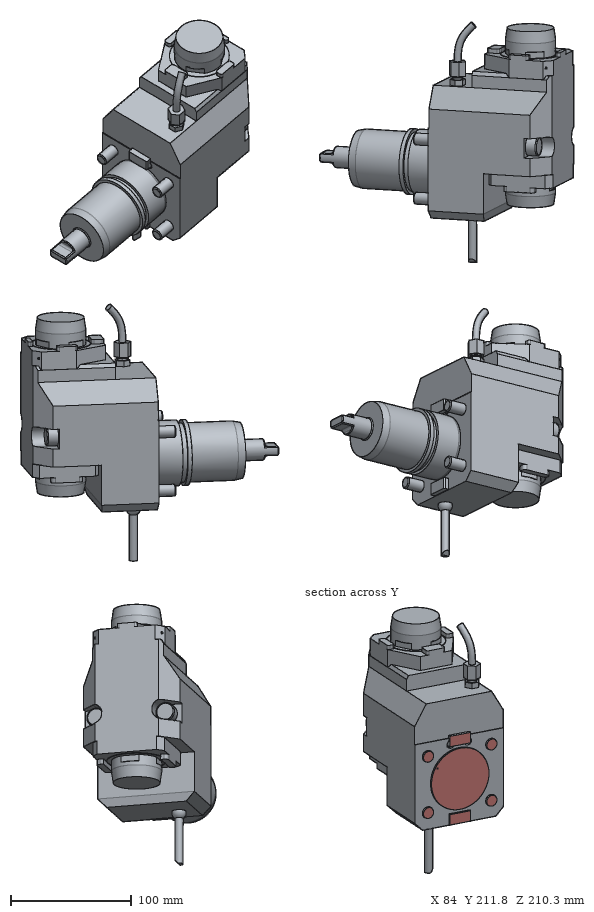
import cadquery as cq
import math


HOUSING_WIDTH = 84.0
HOUSING_BACK = 104.2
HOUSING_BOTTOM = -40.2
SHOULDER_Z = 53.2
DECK_Z = 71.5
DECK_HALF_WIDTH = 31.0
BOTTOM_CHAMFER = 7.4
BACK_CORNER_CHAMFER = 14.6
OVERHANG_Z = 1.3
OVERHANG_FRONT = 48.6
HEEL_BEVEL_DEPTH = 1.8
FACE_STEP = 0.6
FACE_STEP_Z = 37.2

SPINDLE_Y = 75.5
RISER_TOP = 85.0
RISER_FRONT = 34.7
RISER_CHAMFER_WIDTH = 1.8
RISER_CHAMFER_HEIGHT = 3.2
PLATE_TOP = 97.4
PLATE_HALF_WIDTH = 31.2
PLATE_FRONT = 40.3
PLATE_FRONT_HALF_WIDTH = 15.0
PLATE_SIDE_FRONT = 67.7
PLATE_BACK_CORNER = 6.6
PLATE_HOLE_DIAMETER = 1.7
PLATE_HOLE_DEPTH = 2.0
PLATE_HOLE_BACK_INSET = 4.6
PLATE_HOLE_Z = 91.5
KEY_HEIGHT = 3.7
KEY_WIDTH = 17.2
KEY_FILLET = 1.8
FRONT_KEY_LENGTH = 10.4
COLLAR_DIAMETER = 49.7
COLLAR_HEIGHT = 0.5
NUT_DIAMETER = 42.0
NUT_END_DIAMETER = 39.0
NUT_HEIGHT = 22.0
NUT_TAPER_HEIGHT = 9.8
NUT_FLAT_DISTANCE = 19.5
TOP_NUT_FLAT_HEIGHT = 4.8
TOP_NUT_TURN = 30.0

LOWER_PLATE_BOTTOM = -10.2
LOWER_PLATE_CORNER = 5.2
LOWER_PLATE_FRONT_CORNER = 3.1
LOWER_KEY_WIDTH = 26.8
LOWER_KEY_HEIGHT = 4.5
LOWER_KEY_FILLET = 3.1
LOWER_NUT_HEIGHT = 19.2
LOWER_NUT_FLAT_HEIGHT = 5.9

SHANK_DIAMETER = 49.7
FLANGE_DIAMETER = 55.0
SHANK_TIP_DIAMETER = 47.0
PILOT_DIAMETER = 54.6
PILOT_LENGTH = 1.2
FLANGE_START = 1.9
FLANGE_END = 23.0
RING_START = 27.3
RING_END = 30.8
SHANK_TAPER_START = 70.2
SHANK_END = 76.8
SHAFT_DIAMETER = 18.0
SHAFT_COLLAR_DIAMETER = 19.6
SHAFT_COLLAR_LENGTH = 1.0
SHAFT_END = 107.6
TANG_THICKNESS = 7.8
TANG_START = 96.2
TANG_ROOT_RADIUS = 2.1
TANG_FLAT_WIDTH = 14.6
TANG_EDGE_DROP = 1.1
TANG_END_CHAMFER = 1.0
SHAFT_END_CHAMFER = 0.8

BOLT_X = 30.0
BOLT_Z = 25.0
BOLT_DIAMETER = 10.0
BOLT_LENGTH = 15.8
BOLT_CHAMFER = 0.9
BOLT_EMBED = 5.0
BOLT_HEAD_DIAMETER = 16.0
BOLT_HEAD_HEIGHT = 9.4
BOLT_POCKET_WIDTH = 16.6
BOLT_SEAT_Y = 84.3
DRIVE_KEY_WIDTH = 19.8
DRIVE_KEY_HEIGHT = 9.7
DRIVE_KEY_INNER_Z = 30.0
DRIVE_KEY_PROUD = 4.5
DRIVE_KEY_CHAMFER_WIDTH = 0.7
DRIVE_KEY_CHAMFER_DEPTH = 1.3
KEY_SEAT_DEPTH = 5.0
KEY_RELIEF_DIAMETER = 7.0
KEY_RELIEF_X = 8.0
KEY_RELIEF_Z = 31.6

TUBE_X = 22.4
TUBE_Y = 19.1
TUBE_DIAMETER = 6.0
BASE_HEX_FLATS = 11.3
BASE_HEX_TOP = 76.3
FITTING_NECK_DIAMETER = 8.15
FITTING_SEAT_DIAMETER = 9.4
FITTING_SEAT_BOTTOM = 78.0
NUT_HEX_FLATS = 12.4
NUT_HEX_BOTTOM = 79.2
NUT_HEX_TOP = 91.5
TUBE_TIP_REACH = 13.4
TUBE_TIP_RISE = 30.9
TUBE_MID_REACH = 3.3
TUBE_MID_RISE = 18.6
TUBE_TIP_LEAN = 47.0
TUBE_HEADING = 110.0

CABLE_X = -19.5
CABLE_Y = 17.6
CABLE_DIAMETER = 7.0
CABLE_END = -85.72
GROMMET_DIAMETER = 12.0
GROMMET_DROP = 1.3


def box(x_range, y_range, z_range):
    """Axis-aligned box from its three (low, high) ranges."""
    size = [high - low for low, high in (x_range, y_range, z_range)]
    corner = (x_range[0], y_range[0], z_range[0])
    return cq.Workplane("XY").box(*size, centered=False).translate(corner)


def mirrored_outline(points):
    """Closed outline from its +X half, listed from one end to the other."""
    return points + [(-x, y) for x, y in reversed(points)]


def vertical_cylinder(x, y, diameter, bottom, top):
    return cq.Workplane("XY", origin=(x, y, bottom)).circle(diameter / 2).extrude(top - bottom)


def make_housing():
    half = HOUSING_WIDTH / 2
    section = mirrored_outline([
        (half - BOTTOM_CHAMFER, HOUSING_BOTTOM),
        (half, HOUSING_BOTTOM + BOTTOM_CHAMFER),
        (half, SHOULDER_Z),
        (DECK_HALF_WIDTH, DECK_Z),
    ])
    housing = cq.Workplane("XZ").polyline(section).close().extrude(-HOUSING_BACK)

    riser_section = mirrored_outline([
        (DECK_HALF_WIDTH, DECK_Z),
        (DECK_HALF_WIDTH, RISER_TOP - RISER_CHAMFER_HEIGHT),
        (DECK_HALF_WIDTH - RISER_CHAMFER_WIDTH, RISER_TOP),
    ])
    riser = (
        cq.Workplane("XZ", origin=(0, RISER_FRONT, 0))
        .polyline(riser_section).close().extrude(RISER_FRONT - HOUSING_BACK)
    )
    housing = housing.union(riser)

    plan = mirrored_outline([
        (half, 0),
        (half, HOUSING_BACK - BACK_CORNER_CHAMFER),
        (half - BACK_CORNER_CHAMFER, HOUSING_BACK),
    ])
    envelope = (
        cq.Workplane("XY", origin=(0, 0, HOUSING_BOTTOM))
        .polyline(plan).close().extrude(RISER_TOP - HOUSING_BOTTOM)
    )
    housing = housing.intersect(envelope)

    overhang = [
        (OVERHANG_FRONT, OVERHANG_Z),
        (HOUSING_BACK, OVERHANG_Z),
        (HOUSING_BACK, HOUSING_BOTTOM),
        (OVERHANG_FRONT - HEEL_BEVEL_DEPTH, HOUSING_BOTTOM),
        (OVERHANG_FRONT, HOUSING_BOTTOM + BOTTOM_CHAMFER),
    ]
    cut = cq.Workplane("YZ").polyline(overhang).close().extrude(half, both=True)
    housing = housing.cut(cut)

    return housing.cut(box((-half, half), (0, FACE_STEP), (FACE_STEP_Z, DECK_Z)))


def make_nut(flats_turn, height, flat_height):
    """Clamping nut standing on Z = 0: wrench flats, cylinder and tapered end."""
    radius = NUT_DIAMETER / 2
    profile = [
        (0, -COLLAR_HEIGHT),
        (radius, -COLLAR_HEIGHT),
        (radius, height - NUT_TAPER_HEIGHT),
        (NUT_END_DIAMETER / 2, height),
        (0, height),
    ]
    nut = cq.Workplane("XZ").polyline(profile).close().revolve(360, (0, 0, 0), (0, 1, 0))
    chip = box(
        (NUT_FLAT_DISTANCE, NUT_DIAMETER),
        (-radius, radius),
        (-COLLAR_HEIGHT, flat_height),
    )
    for quarter in range(4):
        nut = nut.cut(chip.rotate((0, 0, 0), (0, 0, 1), flats_turn + 90 * quarter))
    return nut


def make_plate_hole(side):
    """Drill for the small hole square to a chamfered back corner of the upper plate."""
    side_inset = PLATE_BACK_CORNER - PLATE_HOLE_BACK_INSET
    mouth = cq.Vector(
        side * (PLATE_HALF_WIDTH - side_inset),
        HOUSING_BACK - PLATE_HOLE_BACK_INSET,
        PLATE_HOLE_Z,
    )
    inward = cq.Vector(-side, -1, 0).normalized()
    start = mouth - inward * PLATE_HOLE_DEPTH
    drill = cq.Solid.makeCylinder(PLATE_HOLE_DIAMETER / 2, 2 * PLATE_HOLE_DEPTH, start, inward)
    return cq.Workplane(drill)


def make_upper_head():
    outline = mirrored_outline([
        (PLATE_FRONT_HALF_WIDTH, PLATE_FRONT),
        (PLATE_HALF_WIDTH, PLATE_SIDE_FRONT),
        (PLATE_HALF_WIDTH, HOUSING_BACK - PLATE_BACK_CORNER),
        (PLATE_HALF_WIDTH - PLATE_BACK_CORNER, HOUSING_BACK),
    ])
    plate_bottom = RISER_TOP - RISER_CHAMFER_HEIGHT
    head = (
        cq.Workplane("XY", origin=(0, 0, plate_bottom))
        .polyline(outline).close().extrude(PLATE_TOP - plate_bottom)
    )

    half_key = KEY_WIDTH / 2
    collar_radius = COLLAR_DIAMETER / 2
    along_y = (SPINDLE_Y - half_key, SPINDLE_Y + half_key)
    heights = (PLATE_TOP, PLATE_TOP + KEY_HEIGHT)
    keys = [
        box((-half_key, half_key), (PLATE_FRONT, PLATE_FRONT + FRONT_KEY_LENGTH), heights),
        box((-half_key, half_key), (SPINDLE_Y + collar_radius, HOUSING_BACK), heights),
        box((collar_radius, PLATE_HALF_WIDTH), along_y, heights),
        box((-PLATE_HALF_WIDTH, -collar_radius), along_y, heights),
    ]
    for key in keys:
        head = head.union(key.edges("|Z").fillet(KEY_FILLET))
    recess = vertical_cylinder(
        0, SPINDLE_Y, COLLAR_DIAMETER, PLATE_TOP - COLLAR_HEIGHT, PLATE_TOP + KEY_HEIGHT
    )
    nut = make_nut(TOP_NUT_TURN, NUT_HEIGHT, TOP_NUT_FLAT_HEIGHT)
    head = head.cut(recess).union(nut.translate((0, SPINDLE_Y, PLATE_TOP)))
    for side in (-1, 1):
        head = head.cut(make_plate_hole(side))
    return head


def make_lower_head():
    front_inset = DECK_HALF_WIDTH - LOWER_PLATE_FRONT_CORNER
    outline = mirrored_outline([
        (front_inset, OVERHANG_FRONT),
        (DECK_HALF_WIDTH, OVERHANG_FRONT + LOWER_PLATE_FRONT_CORNER),
        (DECK_HALF_WIDTH, HOUSING_BACK - LOWER_PLATE_CORNER),
        (DECK_HALF_WIDTH - LOWER_PLATE_CORNER, HOUSING_BACK),
    ])
    head = (
        cq.Workplane("XY", origin=(0, 0, LOWER_PLATE_BOTTOM))
        .polyline(outline).close().extrude(OVERHANG_Z - LOWER_PLATE_BOTTOM)
    )
    half_key = LOWER_KEY_WIDTH / 2
    collar_radius = COLLAR_DIAMETER / 2
    for side in (-1, 1):
        x_range = sorted((side * collar_radius, side * DECK_HALF_WIDTH))
        key = box(
            x_range,
            (SPINDLE_Y - half_key, SPINDLE_Y + half_key),
            (LOWER_PLATE_BOTTOM - LOWER_KEY_HEIGHT, LOWER_PLATE_BOTTOM),
        )
        outer_edges = key.edges("|Z").edges("<X" if side < 0 else ">X")
        head = head.union(outer_edges.fillet(LOWER_KEY_FILLET))
    collar_bottom = LOWER_PLATE_BOTTOM - COLLAR_HEIGHT
    head = head.union(
        vertical_cylinder(0, SPINDLE_Y, COLLAR_DIAMETER, collar_bottom, LOWER_PLATE_BOTTOM)
    )
    nut = make_nut(0, LOWER_NUT_HEIGHT, LOWER_NUT_FLAT_HEIGHT).mirror("XY")
    return head.union(nut.translate((0, SPINDLE_Y, LOWER_PLATE_BOTTOM)))


def make_shank():
    flange = FLANGE_DIAMETER / 2
    shank = SHANK_DIAMETER / 2
    pilot = PILOT_DIAMETER / 2
    shaft = SHAFT_DIAMETER / 2
    profile = [
        (0, 0),
        (pilot, 0),
        (pilot, -PILOT_LENGTH),
        (flange, -FLANGE_START),
        (flange, -FLANGE_END),
        (shank, -FLANGE_END),
        (shank, -RING_START),
        (flange, -RING_START),
        (flange, -RING_END),
        (shank, -RING_END),
        (shank, -SHANK_TAPER_START),
        (SHANK_TIP_DIAMETER / 2, -SHANK_END),
        (SHAFT_COLLAR_DIAMETER / 2, -SHANK_END),
        (shaft, -SHANK_END - SHAFT_COLLAR_LENGTH),
        (shaft, -TANG_START + SHAFT_END_CHAMFER),
        (shaft - SHAFT_END_CHAMFER, -TANG_START),
        (0, -TANG_START),
    ]
    body = cq.Workplane("XY").polyline(profile).close().revolve(360, (0, 0, 0), (0, 1, 0))
    return body.union(make_tang())


def make_tang():
    """Flat drive tang with chamfered edges and rounded roots, kept within the shaft diameter."""
    shaft = SHAFT_DIAMETER / 2
    half = TANG_THICKNESS / 2
    edge_z = half - TANG_EDGE_DROP
    blade_start = -TANG_START + SHAFT_END_CHAMFER
    blade_length = SHAFT_END - TANG_START + SHAFT_END_CHAMFER
    section = mirrored_outline([
        (TANG_FLAT_WIDTH / 2, -half),
        (shaft, -edge_z),
        (shaft, edge_z),
        (TANG_FLAT_WIDTH / 2, half),
    ])
    blade = (
        cq.Workplane("XZ", origin=(0, blade_start, 0))
        .polyline(section).close().extrude(blade_length)
        .faces("<Y").chamfer(TANG_END_CHAMFER)
    )
    rim = cq.Workplane("XZ", origin=(0, blade_start, 0)).circle(shaft).extrude(blade_length)

    root_end = -TANG_START - TANG_ROOT_RADIUS
    root_half = half + TANG_ROOT_RADIUS
    root = box((-shaft, shaft), (root_end, -TANG_START), (-root_half, root_half))
    for z in (-root_half, root_half):
        hollow = (
            cq.Workplane("YZ", origin=(-shaft, root_end, z))
            .circle(TANG_ROOT_RADIUS).extrude(SHAFT_DIAMETER)
        )
        root = root.cut(hollow)
    bar = (
        cq.Workplane("XZ", origin=(0, -TANG_START, 0))
        .circle(shaft - SHAFT_END_CHAMFER).extrude(TANG_ROOT_RADIUS)
    )
    return blade.intersect(rim).union(root.intersect(bar))


def make_drive_key(bottom):
    """Drive key whose two sides are chamfered towards its front face."""
    half = DRIVE_KEY_WIDTH / 2
    plan = mirrored_outline([
        (half, KEY_SEAT_DEPTH),
        (half, -DRIVE_KEY_PROUD + DRIVE_KEY_CHAMFER_DEPTH),
        (half - DRIVE_KEY_CHAMFER_WIDTH, -DRIVE_KEY_PROUD),
    ])
    return (
        cq.Workplane("XY", origin=(0, 0, bottom))
        .polyline(plan).close().extrude(DRIVE_KEY_HEIGHT)
    )


def cut_key_reliefs(body):
    """Round corner reliefs at the lower corners of the upper drive key's seat."""
    reliefs = (
        cq.Workplane("XZ")
        .pushPoints([(-KEY_RELIEF_X, KEY_RELIEF_Z), (KEY_RELIEF_X, KEY_RELIEF_Z)])
        .circle(KEY_RELIEF_DIAMETER / 2).extrude(-KEY_SEAT_DEPTH)
    )
    return body.cut(reliefs)


def make_bolt_end(x, z):
    bolt = (
        cq.Workplane("XZ", origin=(x, BOLT_EMBED, z))
        .circle(BOLT_DIAMETER / 2).extrude(BOLT_LENGTH + BOLT_EMBED)
    )
    return bolt.faces("<Y").chamfer(BOLT_CHAMFER)


def add_bolt_heads(body):
    """Bolt heads seated in pockets that open to the back and to the sides."""
    half = BOLT_POCKET_WIDTH / 2
    for side in (-1, 1):
        x = side * BOLT_X
        bore = (
            cq.Workplane("XZ", origin=(x, BOLT_SEAT_Y, BOLT_Z))
            .circle(half).extrude(BOLT_SEAT_Y - HOUSING_BACK)
        )
        slot = box(
            sorted((x, side * HOUSING_WIDTH / 2)),
            (BOLT_SEAT_Y, HOUSING_BACK),
            (BOLT_Z - half, BOLT_Z + half),
        )
        head = (
            cq.Workplane("XZ", origin=(x, BOLT_SEAT_Y, BOLT_Z))
            .circle(BOLT_HEAD_DIAMETER / 2).extrude(-BOLT_HEAD_HEIGHT)
            .faces(">Y").chamfer(BOLT_CHAMFER)
        )
        body = body.cut(bore).cut(slot).union(head)
    return body


def hexagon(flats, turn, bottom, top):
    """Hexagonal prism on the coolant fitting axis."""
    corners = flats / math.cos(math.pi / 6)
    prism = cq.Workplane("XY").polygon(6, corners).extrude(top - bottom)
    return prism.rotate((0, 0, 0), (0, 0, 1), turn).translate((TUBE_X, TUBE_Y, bottom))


def make_coolant_tube():
    fitting = hexagon(BASE_HEX_FLATS, 0, DECK_Z, BASE_HEX_TOP)
    neck = vertical_cylinder(
        TUBE_X, TUBE_Y, FITTING_NECK_DIAMETER, BASE_HEX_TOP, FITTING_SEAT_BOTTOM
    )
    seat = vertical_cylinder(
        TUBE_X, TUBE_Y, FITTING_SEAT_DIAMETER, FITTING_SEAT_BOTTOM, NUT_HEX_BOTTOM
    )
    nut = hexagon(NUT_HEX_FLATS, 30, NUT_HEX_BOTTOM, NUT_HEX_TOP)
    lean = math.radians(TUBE_TIP_LEAN)
    path = cq.Workplane("XZ").spline(
        [(0, 0), (TUBE_MID_REACH, TUBE_MID_RISE), (TUBE_TIP_REACH, TUBE_TIP_RISE)],
        tangents=[(0, 1), (math.sin(lean), math.cos(lean))],
    )
    tube = (
        cq.Workplane("XY").circle(TUBE_DIAMETER / 2).sweep(path)
        .rotate((0, 0, 0), (0, 0, 1), TUBE_HEADING)
        .translate((TUBE_X, TUBE_Y, NUT_HEX_TOP))
    )
    return fitting.union(neck).union(seat).union(nut).union(tube)


def make_cable():
    radius = CABLE_DIAMETER / 2
    cable = vertical_cylinder(CABLE_X, CABLE_Y, CABLE_DIAMETER, CABLE_END, HOUSING_BOTTOM)
    wedge = [
        (CABLE_X, CABLE_END),
        (CABLE_X + radius, CABLE_END),
        (CABLE_X + radius, CABLE_END + radius),
    ]
    bevel = (
        cq.Workplane("XZ", origin=(0, CABLE_Y, 0))
        .polyline(wedge).close().extrude(CABLE_DIAMETER, both=True)
    )
    dome_z = HOUSING_BOTTOM - GROMMET_DROP
    dome = cq.Workplane("XY").sphere(GROMMET_DIAMETER / 2).translate((CABLE_X, CABLE_Y, dome_z))
    return cable.cut(bevel).union(dome)


result = add_bolt_heads(cut_key_reliefs(make_housing()))
result = result.union(make_upper_head()).union(make_lower_head())
result = result.union(make_shank())
for bolt_x in (-BOLT_X, BOLT_X):
    for bolt_z in (-BOLT_Z, BOLT_Z):
        result = result.union(make_bolt_end(bolt_x, bolt_z))
for key_bottom in (DRIVE_KEY_INNER_Z, -DRIVE_KEY_INNER_Z - DRIVE_KEY_HEIGHT):
    result = result.union(make_drive_key(key_bottom))
result = result.union(make_coolant_tube()).union(make_cable())